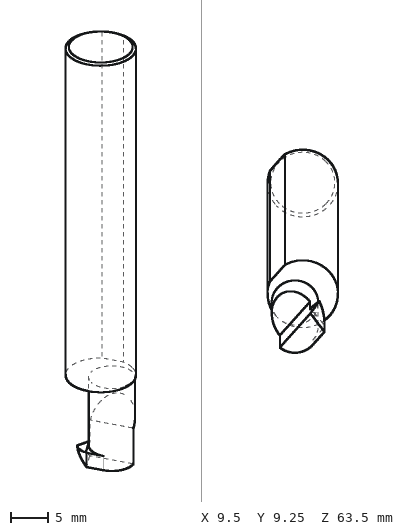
import cadquery as cq
import math

total_length = 63.5
shank_radius = 4.75
flat_offset = 4.5
end_chamfer_radial = 0.45
end_chamfer_axial = 0.25

neck_diameter = 6.3
neck_radius = neck_diameter / 2
neck_length = 12.75
neck_x = shank_radius - neck_radius
runout_z = 5.5

tip_x = -3.4
tip_z = 1.15
tip_width = 0.1
tip_height = 2.2
flank_angle = 30.0
heel_x = -0.8
relief_bulge = 0.25
flank_shift = 0.7


def make_shank():
    shank = (
        cq.Workplane("XY")
        .workplane(offset=neck_length)
        .circle(shank_radius)
        .extrude(total_length - neck_length)
        .faces(">Z")
        .chamfer(end_chamfer_axial, end_chamfer_radial)
    )
    flat_cutter = (
        cq.Workplane("XY")
        .box(2 * shank_radius, shank_radius, total_length, centered=(True, False, False))
        .translate((0, flat_offset, 0))
    )
    return shank.cut(flat_cutter)


def make_neck():
    neck = cq.Workplane("XY").center(neck_x, 0).circle(neck_radius).extrude(neck_length)
    cut_depth = neck_diameter
    relief = (
        cq.Workplane("YZ")
        .polyline([(0, 0), (cut_depth, 0), (cut_depth, runout_z + cut_depth), (0, runout_z)])
        .close()
        .extrude(shank_radius, both=True)
    )
    return neck.cut(relief)


def make_tip():
    relief_length = math.hypot(heel_x - tip_x, neck_radius)
    relief_mid = (
        (tip_x + heel_x) / 2 - relief_bulge * neck_radius / relief_length,
        -neck_radius / 2 - relief_bulge * (heel_x - tip_x) / relief_length,
    )
    plan = (
        cq.Workplane("XY")
        .moveTo(tip_x, 0)
        .threePointArc(relief_mid, (heel_x, -neck_radius))
        .lineTo(neck_x, -neck_radius)
        .lineTo(neck_x, 0)
        .close()
        .extrude(tip_height)
    )
    slope = math.tan(math.radians(flank_angle))
    land_bottom = tip_z - tip_width / 2
    land_top = tip_z + tip_width / 2
    edge_profile = [
        (tip_x, land_bottom),
        (tip_x + land_bottom / slope, 0),
        (neck_x, 0),
        (neck_x, tip_height),
        (tip_x + (tip_height - land_top) / slope, tip_height),
        (tip_x, land_top),
    ]
    heel_profile = [(x + flank_shift, z) for x, z in edge_profile]
    tooth = (
        cq.Workplane("XZ")
        .polyline(edge_profile)
        .close()
        .workplane(offset=neck_radius)
        .polyline(heel_profile)
        .close()
        .loft(ruled=True)
    )
    return plan.intersect(tooth)


result = make_shank().union(make_neck()).union(make_tip())